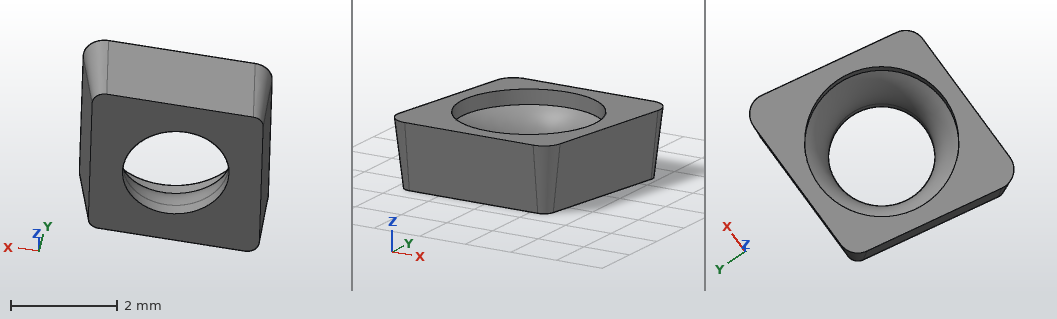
import cadquery as cq
import math

inscribed_circle = 3.57
thickness = 1.39
corner_angle = 80.0
corner_radius = 0.4
clearance_angle = 7.0

bore_radius = 1.0
mouth_radius = 1.45
bore_height = 0.25
seat_arc_radius = 1.0


def rhombus_corners():
    """Sharp corners of the top outline, with two sides parallel to X."""
    angle = math.radians(corner_angle)
    half_height = inscribed_circle / 2
    half_side = half_height / math.sin(angle)
    lean = half_height / math.tan(angle)
    return [
        (-half_side - lean, -half_height),
        (half_side - lean, -half_height),
        (half_side + lean, half_height),
        (-half_side + lean, half_height),
    ]


def make_body():
    """Rounded rhombus, narrowing from the top face down to the bottom face."""
    corners = rhombus_corners()
    outline = cq.Sketch().polygon([*corners, corners[0]])
    outline = outline.vertices().fillet(corner_radius)
    return (
        cq.Workplane("XY")
        .workplane(offset=thickness)
        .placeSketch(outline)
        .extrude(-thickness, taper=clearance_angle)
    )


def make_screw_hole():
    """Revolved hole whose convex seat arc runs tangent into the bore."""
    arc_center_radius = bore_radius + seat_arc_radius
    seat_sweep = math.acos((arc_center_radius - mouth_radius) / seat_arc_radius)
    seat_top = bore_height + seat_arc_radius * math.sin(seat_sweep)
    arc_middle = (
        arc_center_radius - seat_arc_radius * math.cos(seat_sweep / 2),
        bore_height + seat_arc_radius * math.sin(seat_sweep / 2),
    )
    return (
        cq.Workplane("XZ")
        .moveTo(0, 0)
        .lineTo(bore_radius, 0)
        .lineTo(bore_radius, bore_height)
        .threePointArc(arc_middle, (mouth_radius, seat_top))
        .lineTo(mouth_radius, thickness)
        .lineTo(0, thickness)
        .close()
        .revolve(360, (0, 0), (0, 1))
    )


result = make_body().cut(make_screw_hole())